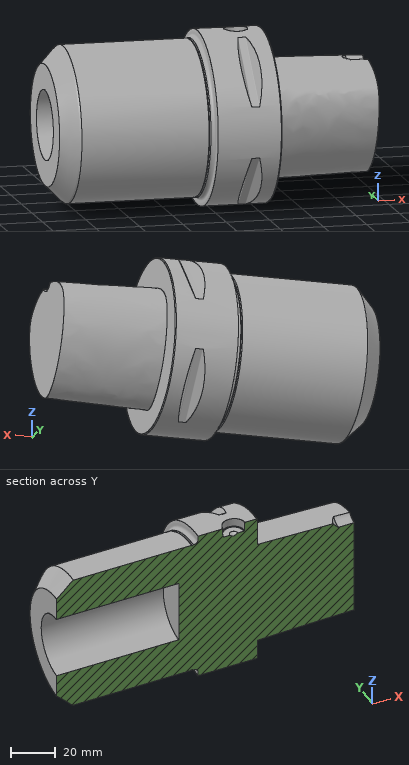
import cadquery as cq
import math

total_length = 148.0

body_radius = 71.8 / 2
nose_face_radius = 27.8
nose_edge_break = 0.6
body_edge_length = 0.7
body_edge_drop = 0.5
bore_diameter = 32.0
bore_depth = 60.7

notch_start = 67.0
notch_width = 0.9
notch_depth = 0.5
neck_radius = 72.0 / 2
neck_fillet = 1.6

flange_radius = 80.0 / 2
flange_start = 70.2
flange_end = 99.9
flange_chamfer = 0.5
flange_bevel_width = 1.3
flange_bevel_depth = 0.1

feature_x = 88.0
slot_count = 4
slot_floor_distance = 35.4
slot_floor_width = 3.5
slot_wall_angle = 30.0
slot_floor_fillet = 0.5
coding_hole_diameter = 10.7
coding_hole_depth = 4.9
coding_floor_chamfer = 0.3
center_dimple_diameter = 4.0
dimple_half_angle = 59.0

lobe_count = 3
lobe_height = 2.2
shank_root_radius = 27.5
shank_end_radius = 26.3
profile_points = 60

key_diameter = 11.8
key_length = 8.0
key_axis_height = 27.4
key_tip_half_angle = 48.0


def turned_body():
    """Sleeve, neck and flange revolved about X from (axial, radial) points."""
    cone_start_radius = nose_face_radius + nose_edge_break
    cone_end_radius = body_radius - body_edge_drop
    cone_end = nose_edge_break + cone_end_radius - cone_start_radius
    fillet_start = flange_start - neck_fillet
    fillet_mid_offset = neck_fillet * math.sqrt(0.5)
    fillet_mid = (
        fillet_start + fillet_mid_offset,
        neck_radius + neck_fillet - fillet_mid_offset,
    )
    return (
        cq.Workplane("XY")
        .moveTo(0, 0)
        .lineTo(0, nose_face_radius)
        .lineTo(nose_edge_break, cone_start_radius)
        .lineTo(cone_end, cone_end_radius)
        .lineTo(cone_end + body_edge_length, body_radius)
        .lineTo(notch_start, body_radius)
        .lineTo(notch_start + notch_width / 2, body_radius - notch_depth)
        .lineTo(notch_start + notch_width, neck_radius)
        .lineTo(fillet_start, neck_radius)
        .threePointArc(fillet_mid, (flange_start, neck_radius + neck_fillet))
        .lineTo(flange_start, flange_radius - flange_bevel_width)
        .lineTo(flange_start + flange_bevel_depth, flange_radius)
        .lineTo(flange_end - flange_chamfer, flange_radius)
        .lineTo(flange_end, flange_radius - flange_chamfer)
        .lineTo(flange_end, 0)
        .close()
        .revolve(360, (0, 0, 0), (1, 0, 0))
    )


def polygon_points(mean_radius):
    """Constant-width three-lobed curve in (Y, Z), with one lobe toward -Z."""
    points = []
    for index in range(profile_points):
        turn = 2 * math.pi * index / profile_points
        lobe_angle = lobe_count * (turn + math.pi / 2)
        reach = mean_radius + lobe_height * math.cos(lobe_angle)
        slope = -lobe_count * lobe_height * math.sin(lobe_angle)
        y = reach * math.cos(turn) - slope * math.sin(turn)
        z = reach * math.sin(turn) + slope * math.cos(turn)
        points.append((y, z))
    return points


def shank():
    return (
        cq.Workplane("YZ", origin=(flange_end, 0, 0))
        .spline(polygon_points(shank_root_radius), periodic=True)
        .close()
        .workplane(offset=total_length - flange_end)
        .spline(polygon_points(shank_end_radius), periodic=True)
        .close()
        .loft(ruled=True)
    )


def bore():
    return cq.Workplane("YZ").circle(bore_diameter / 2).extrude(bore_depth)


def gripper_slot(angle):
    """Straight V-sided slot across the flange, turned by angle about X."""
    cut_height = flange_radius - slot_floor_distance + 1.5
    floor_half = slot_floor_width / 2
    top_half = floor_half + cut_height * math.tan(math.radians(slot_wall_angle))
    cut_top = slot_floor_distance + cut_height
    return (
        cq.Workplane("XZ")
        .polyline([
            (feature_x - floor_half, slot_floor_distance),
            (feature_x + floor_half, slot_floor_distance),
            (feature_x + top_half, cut_top),
            (feature_x - top_half, cut_top),
        ])
        .close()
        .extrude(flange_radius, both=True)
        .edges("|Y and <Z")
        .fillet(slot_floor_fillet)
        .rotate((0, 0, 0), (1, 0, 0), angle)
    )


def coding_hole():
    """Shallow hole in the top of the flange with a conical dimple in its floor."""
    radius = coding_hole_diameter / 2
    dimple_radius = center_dimple_diameter / 2
    floor = flange_radius - coding_hole_depth
    dimple_tip = floor - dimple_radius / math.tan(math.radians(dimple_half_angle))
    return (
        cq.Workplane("XZ")
        .polyline([
            (0, dimple_tip),
            (dimple_radius, floor),
            (radius - coding_floor_chamfer, floor),
            (radius, floor + coding_floor_chamfer),
            (radius, flange_radius),
            (0, flange_radius),
        ])
        .close()
        .revolve(360, (0, 0, 0), (0, 1, 0))
        .translate((feature_x, 0, 0))
    )


def key_groove():
    """Cone-ended groove along X, open at the shank end and through its top."""
    radius = key_diameter / 2
    groove_start = total_length - key_length
    cone_tip = groove_start - radius / math.tan(math.radians(key_tip_half_angle))
    return (
        cq.Workplane("XZ")
        .polyline([
            (cone_tip, 0),
            (groove_start, radius),
            (total_length, radius),
            (total_length, 0),
        ])
        .close()
        .revolve(360, (0, 0, 0), (1, 0, 0))
        .translate((0, 0, key_axis_height))
    )


result = turned_body().union(shank()).cut(bore())
slot_pitch = 360 / slot_count
for slot_index in range(slot_count):
    result = result.cut(gripper_slot(slot_pitch * (slot_index + 0.5)))
result = result.cut(coding_hole()).cut(key_groove())